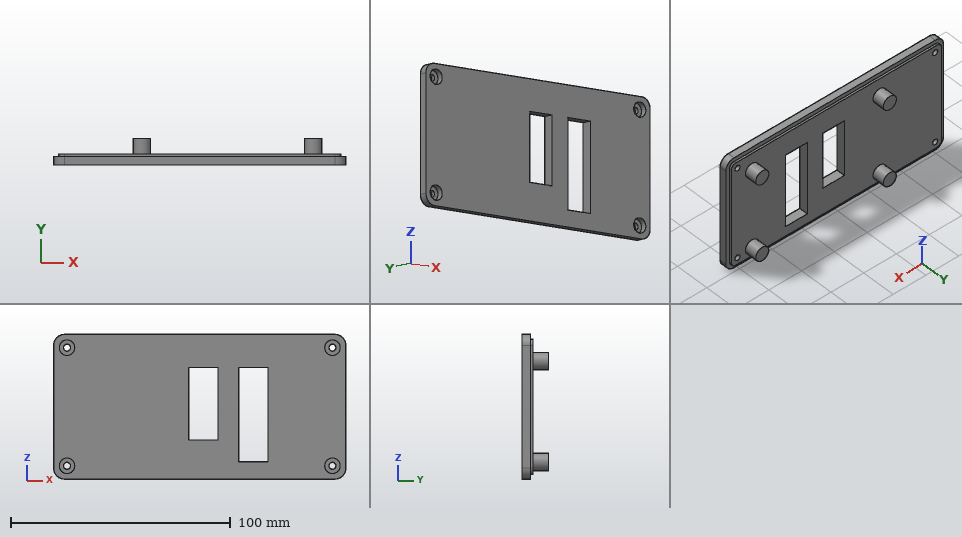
import cadquery as cq

plate_length = 133.0
plate_height = 66.0
plate_thickness = 4.0
corner_radius = 5.0

step_inset = 2.3
step_thickness = 1.2

screw_inset = 6.1
screw_hole_diameter = 3.0
counterbore_diameter = 7.0
counterbore_depth = 3.0

window_width = 13.2
window_top = 17.8
window_lefts_and_heights = [(-4.9, 32.9), (17.8, 42.8)]

boss_diameter = 8.0
boss_length = 7.0
boss_xs = (-26.3, 51.6)
boss_zs = (-25.1, 20.7)

body_thickness = plate_thickness + step_thickness
overall_depth = body_thickness + boss_length
front_y = -overall_depth / 2


def back_facing_plane(depth):
    """XZ workplane at a depth behind the front face, extruding toward +Y.

    Its local x is X and its local y is -Z.
    """
    return cq.Workplane(
        cq.Plane(origin=(0, front_y + depth, 0), xDir=(1, 0, 0), normal=(0, 1, 0))
    )


def rounded_slab(inset, depth, thickness):
    """Plate outline moved inward by inset, with concentric corners."""
    return (
        back_facing_plane(depth)
        .rect(plate_length - 2 * inset, plate_height - 2 * inset)
        .extrude(thickness)
        .edges("|Y")
        .fillet(corner_radius - inset)
    )


def screw_holes():
    """Through holes with counterbores opening on the front face."""
    spacing_x = plate_length - 2 * screw_inset
    spacing_z = plate_height - 2 * screw_inset
    centres = back_facing_plane(0).rect(spacing_x, spacing_z, forConstruction=True).vertices()
    holes = centres.circle(screw_hole_diameter / 2).extrude(body_thickness)
    counterbores = centres.circle(counterbore_diameter / 2).extrude(counterbore_depth)
    return holes.union(counterbores)


def window(left, height):
    """Rectangular cutter hanging down from the shared window top edge."""
    centre_x = left + window_width / 2
    centre_z = window_top - height / 2
    return back_facing_plane(0).center(centre_x, -centre_z).rect(window_width, height).extrude(body_thickness)


def bosses():
    """Grid of plain cylindrical bosses standing on the step."""
    centres = [(x, -z) for x in boss_xs for z in boss_zs]
    return back_facing_plane(body_thickness).pushPoints(centres).circle(boss_diameter / 2).extrude(boss_length)


result = rounded_slab(0, 0, plate_thickness)
result = result.union(rounded_slab(step_inset, plate_thickness, step_thickness))
result = result.union(bosses())
result = result.cut(screw_holes())
for window_left, window_height in window_lefts_and_heights:
    result = result.cut(window(window_left, window_height))